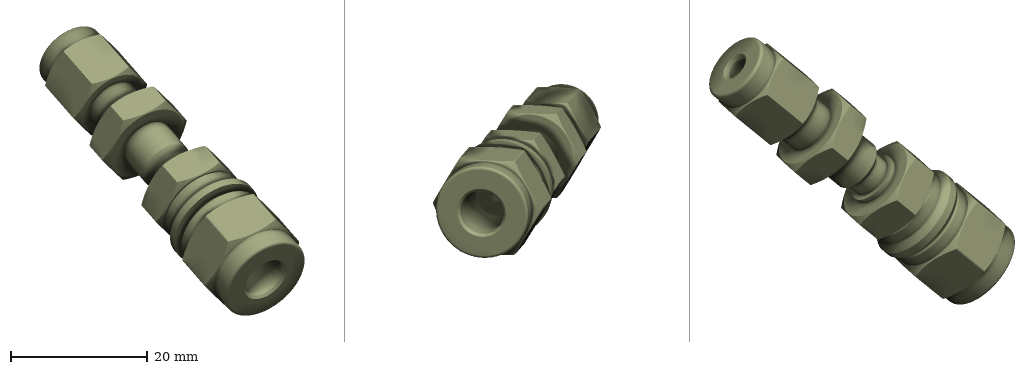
import cadquery as cq
import math


SMALL_NUT_START = 3.0
SMALL_NUT_END = 11.97
LOCK_NUT_START = 16.6
LOCK_NUT_END = 21.35
GROOVE_START = 27.5
GROOVE_END = 29.9
BODY_HEX_START = 30.8
BODY_HEX_END = 36.1
CONE_START = 38.18
FLANGE_END = 40.4
WASHER_START = 41.3
LARGE_NUT_START = 43.3
LARGE_NUT_END = 50.85
TOTAL_LENGTH = 53.9

SMALL_NOSE_DIA = 10.6
THREAD_DIA = 7.94
GROOVE_DIA = 6.28
COLLAR_DIA = 12.6
FLANGE_DIA = 14.6
NECK_DIA = 11.11
WASHER_DIA = 13.6
LARGE_NOSE_DIA = 13.9

HEX_SIDES = 6
SMALL_NUT_FLATS = 11.11
MIDDLE_FLATS = 12.8
LARGE_NUT_FLATS = 14.3
LARGE_NUT_CORNER_DIA = 16.4
HEX_CHAMFER_ANGLE = 30.0
HEX_FACE_INSET = 0.15

NOSE_FILLET = 0.45
COLLAR_CHAMFER = 0.25
WASHER_FILLET = 0.3

PASSAGE_DIA = 2.28
SMALL_SOCKET_DIA = 3.35
SMALL_MOUTH_DIA = 4.5
LARGE_SOCKET_DIA = 6.55
LARGE_MOUTH_DIA = 7.3


def cylinder(start, end, diameter):
    """Solid round section along X."""
    return cq.Workplane("YZ", origin=(start, 0, 0)).circle(diameter / 2).extrude(end - start)


def turned(outline):
    """Solid of revolution about X from a closed (x, radius) outline."""
    return cq.Workplane("XY").polyline(outline).close().revolve(360, (0, 0, 0), (1, 0, 0))


def cone(start, end, start_dia, end_dia):
    """Solid conical section along X."""
    outline = [(start, 0), (end, 0), (end, end_dia / 2), (start, start_dia / 2)]
    return turned(outline)


def hexagon(start, end, flats, corner_dia=None):
    """Hexagonal section whose corners are cut by a cone at each end."""
    point_dia = flats / math.cos(math.pi / HEX_SIDES)
    corner_radius = (corner_dia or point_dia) / 2
    face_radius = flats / 2 - HEX_FACE_INSET
    chamfer = (corner_radius - face_radius) * math.tan(math.radians(HEX_CHAMFER_ANGLE))
    prism = cq.Workplane("YZ", origin=(start, 0, 0)).polygon(HEX_SIDES, point_dia).extrude(end - start)
    outline = [
        (start, 0),
        (start, face_radius),
        (start + chamfer, corner_radius),
        (end - chamfer, corner_radius),
        (end, face_radius),
        (end, 0),
    ]
    return prism.intersect(turned(outline))


def small_end():
    """Small tube nut with its rounded nose, and the lock nut behind it."""
    nose = cylinder(0, SMALL_NUT_START, SMALL_NOSE_DIA).faces("<X").edges().fillet(NOSE_FILLET)
    nut = hexagon(SMALL_NUT_START, SMALL_NUT_END, SMALL_NUT_FLATS)
    lock_nut = hexagon(LOCK_NUT_START, LOCK_NUT_END, MIDDLE_FLATS)
    return nose.union(nut).union(lock_nut)


def body():
    """Threaded shank with its undercut, body hexagon, collar and sealing flange."""
    runout = (THREAD_DIA - GROOVE_DIA) / 2
    flange_start = CONE_START + (FLANGE_DIA - COLLAR_DIA) / 2
    solid = cylinder(SMALL_NUT_END, GROOVE_START - runout, THREAD_DIA)
    taper = cone(GROOVE_START - runout, GROOVE_START, THREAD_DIA, GROOVE_DIA)
    groove = cylinder(GROOVE_START, GROOVE_END, GROOVE_DIA)
    shoulder = cylinder(GROOVE_END, BODY_HEX_START, THREAD_DIA)
    body_hex = hexagon(BODY_HEX_START, BODY_HEX_END, MIDDLE_FLATS)
    collar = cylinder(BODY_HEX_END, CONE_START, COLLAR_DIA).faces("<X").edges().chamfer(COLLAR_CHAMFER)
    flare = cone(CONE_START, flange_start, COLLAR_DIA, FLANGE_DIA)
    flange = cylinder(flange_start, FLANGE_END, FLANGE_DIA)
    neck = cylinder(FLANGE_END, WASHER_START, NECK_DIA)
    sections = [taper, groove, shoulder, body_hex, collar, flare, flange, neck]
    for section in sections:
        solid = solid.union(section)
    return solid


def large_end():
    """Washer, large tube nut and its rounded nose."""
    washer = cylinder(WASHER_START, LARGE_NUT_START, WASHER_DIA).faces("<X").edges().fillet(WASHER_FILLET)
    nut = hexagon(LARGE_NUT_START, LARGE_NUT_END, LARGE_NUT_FLATS, LARGE_NUT_CORNER_DIA)
    nose = cylinder(LARGE_NUT_END, TOTAL_LENGTH, LARGE_NOSE_DIA).faces(">X").edges().fillet(NOSE_FILLET)
    return washer.union(nut).union(nose)


def bores():
    """Through passage with a countersunk tube socket at each end."""
    small_sink = (SMALL_MOUTH_DIA - SMALL_SOCKET_DIA) / 2
    large_sink = (LARGE_MOUTH_DIA - LARGE_SOCKET_DIA) / 2
    passage = cylinder(0, TOTAL_LENGTH, PASSAGE_DIA)
    small_socket = cylinder(0, SMALL_NUT_END, SMALL_SOCKET_DIA)
    small_mouth = cone(0, small_sink, SMALL_MOUTH_DIA, SMALL_SOCKET_DIA)
    large_socket = cylinder(LARGE_NUT_START, TOTAL_LENGTH, LARGE_SOCKET_DIA)
    large_mouth = cone(TOTAL_LENGTH - large_sink, TOTAL_LENGTH, LARGE_SOCKET_DIA, LARGE_MOUTH_DIA)
    return passage.union(small_socket).union(small_mouth).union(large_socket).union(large_mouth)


result = small_end().union(body()).union(large_end()).cut(bores())